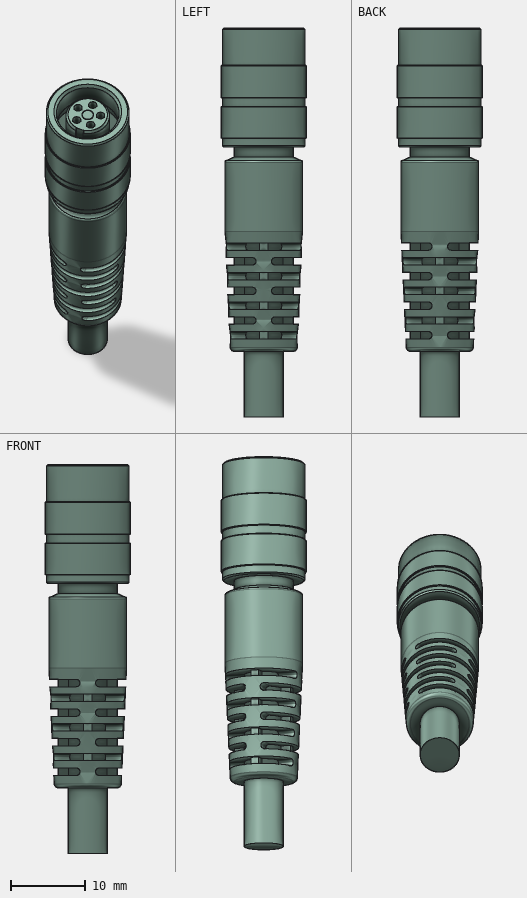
import cadquery as cq

total_length = 52.5

nut_diameter = 11.2
grip_diameter = 11.5
nut_bottom = 36.45
grip_bands = ((37.6, 41.95), (43.05, 47.5))
grip_edge = 0.1
nut_edge = 0.2

bore_diameter = 8.45
bore_mouth_diameter = 9.15
bore_depth = 5.0
undercut_start = 3.35
undercut_diameter = 9.15
insert_diameter = 5.9
insert_face_diameter = 5.3
insert_recess = 0.7
key_width = 1.1
key_floor = 2.6
contact_count = 5
contact_diameter = 1.1
first_contact_angle = 90
contact_circle_radius = 1.75
contact_depth = 2.1
centre_diameter = 1.5
centre_depth = 0.1

neck_diameter = 8.0
body_diameter = 10.5
body_top = 35.1
body_shoulder_height = 0.45
body_shoulder_diameter = 10.0
body_edge = 0.25
taper_top = 25.05
boot_bottom = 8.85
boot_bottom_diameter = 9.05
boot_edge = 0.6
cable_diameter = 5.3

slot_count = 7
slot_height = 1.0
slot_pitch = 2 * slot_height
first_slot_top = 23.5
bridge_half_width = 1.05
rib_width = 1.1
rib_length = neck_diameter
quarter_turn = 90


def cylinder(diameter, bottom, top):
    """Upright cylinder on the part axis."""
    return cq.Workplane("XY").workplane(offset=bottom).circle(diameter / 2).extrude(top - bottom)


def make_nut():
    nut = cylinder(nut_diameter, nut_bottom, total_length).faces("<Z or >Z").chamfer(nut_edge)
    for bottom, top in grip_bands:
        band = cylinder(grip_diameter, bottom, top).faces("<Z or >Z").chamfer(grip_edge)
        nut = nut.union(band)
    return nut


def make_bore():
    bore = cylinder(bore_diameter, total_length - bore_depth, total_length)
    mouth_chamfer = (bore_mouth_diameter - bore_diameter) / 2
    mouth = (
        cq.Workplane("XY")
        .workplane(offset=total_length)
        .circle(bore_mouth_diameter / 2)
        .workplane(offset=-mouth_chamfer)
        .circle(bore_diameter / 2)
        .loft()
    )
    undercut = cylinder(undercut_diameter, total_length - bore_depth, total_length - undercut_start)
    return bore.union(mouth).union(undercut)


def make_insert():
    face = total_length - insert_recess
    bottom = total_length - bore_depth
    insert_edge = (insert_diameter - insert_face_diameter) / 2
    insert = cylinder(insert_diameter, bottom, face).faces(">Z").edges().chamfer(insert_edge)
    key = cq.Workplane("XY").box(key_width, insert_diameter, face - bottom, centered=(True, False, False))
    insert = insert.cut(key.translate((0, -key_floor - insert_diameter, bottom)))
    contacts = (
        cq.Workplane("XY")
        .workplane(offset=face - contact_depth)
        .polarArray(contact_circle_radius, first_contact_angle, 360, contact_count)
        .circle(contact_diameter / 2)
        .extrude(contact_depth)
    )
    return insert.cut(contacts).cut(cylinder(centre_diameter, face - centre_depth, face))


def make_boot():
    """Cylindrical body that tapers down to a rounded lower end."""
    body_radius = body_diameter / 2
    shoulder_bottom = body_top - body_shoulder_height
    boot = (
        cq.Workplane("XZ")
        .moveTo(0, boot_bottom)
        .lineTo(boot_bottom_diameter / 2, boot_bottom)
        .lineTo(body_radius, taper_top)
        .lineTo(body_radius, shoulder_bottom - body_edge)
        .radiusArc((body_shoulder_diameter / 2, shoulder_bottom), -body_edge)
        .lineTo(neck_diameter / 2, body_top)
        .lineTo(0, body_top)
        .close()
        .revolve(360, (0, 0, 0), (0, 1, 0))
    )
    return boot.faces("<Z").edges().fillet(boot_edge)


def make_slot(middle, angle):
    """Pair of round-ended slots either side of a bridge, leaving the cable and two ribs."""
    reach = body_diameter
    round_radius = slot_height / 2
    bottom = middle - round_radius
    top = middle + round_radius
    slot = cq.Workplane("XY")
    for side in (-1, 1):
        round_centre = side * (bridge_half_width + round_radius)
        outline = (
            cq.Workplane("XZ")
            .moveTo(side * reach, bottom)
            .lineTo(round_centre, bottom)
            .threePointArc((side * bridge_half_width, middle), (round_centre, top))
            .lineTo(side * reach, top)
            .close()
            .extrude(reach, both=True)
        )
        slot = slot.add(outline)
    slot = slot.combine()
    rib = cq.Workplane("XY").box(rib_length, rib_width, slot_height).translate((0, 0, middle))
    slot = slot.cut(rib).cut(cylinder(cable_diameter, bottom, top))
    return slot.rotate((0, 0, 0), (0, 0, 1), angle)


result = make_boot()
for index in range(slot_count):
    slot_middle = first_slot_top - slot_height / 2 - index * slot_pitch
    result = result.cut(make_slot(slot_middle, quarter_turn * (index % 2)))

result = result.union(cylinder(cable_diameter, 0, boot_bottom))
result = result.union(cylinder(neck_diameter, body_top, nut_bottom))
result = result.union(make_nut().cut(make_bore()).union(make_insert()))